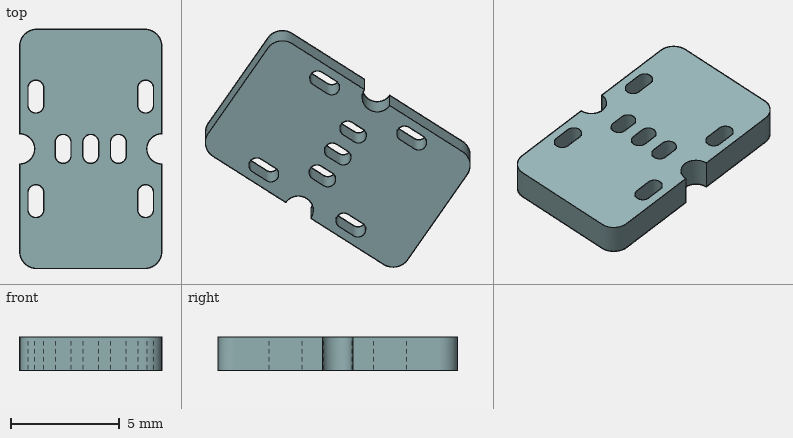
import cadquery as cq

width = 6.54
length = 11.0
thickness = 1.55
corner_radius = 0.8

notch_radius = 0.69

slot_width = 0.72
side_slot_length = 1.5
side_slot_spacing_x = 5.04
side_slot_spacing_y = 4.8
center_slot_length = 1.32
center_slot_pitch = 1.27
center_slot_count = 3


def make_plate():
    """Rectangular plate with rounded vertical corners, centred on Z."""
    return cq.Workplane("XY").box(width, length, thickness).edges("|Z").fillet(corner_radius)


def make_notches():
    """Cylinders centred on the two long sides."""
    side_points = [(-width / 2, 0), (width / 2, 0)]
    return (
        cq.Workplane("XY")
        .pushPoints(side_points)
        .circle(notch_radius)
        .extrude(thickness / 2, both=True)
    )


def make_slots(centers, slot_length):
    """Through slots with round ends, long axis along Y."""
    return (
        cq.Workplane("XY")
        .pushPoints(centers)
        .slot2D(slot_length, slot_width, angle=90)
        .extrude(thickness / 2, both=True)
    )


side_slot_centers = [
    (side_x * side_slot_spacing_x / 2, side_y * side_slot_spacing_y / 2)
    for side_x in (-1, 1)
    for side_y in (-1, 1)
]
center_slot_centers = [
    ((index - (center_slot_count - 1) / 2) * center_slot_pitch, 0)
    for index in range(center_slot_count)
]

result = (
    make_plate()
    .cut(make_notches())
    .cut(make_slots(side_slot_centers, side_slot_length))
    .cut(make_slots(center_slot_centers, center_slot_length))
)